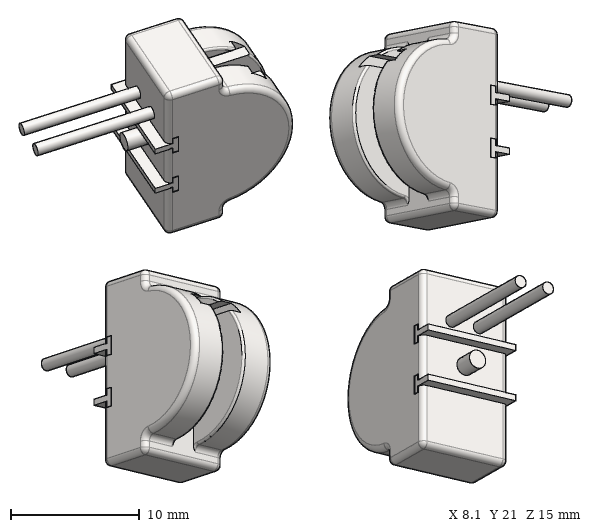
import cadquery as cq
import math


body_width = 8.0
base_height = 15.0
base_depth = 5.0
dome_radius = 6.0
outer_fillet = 0.5
neck_fillet = 0.5

slot_width = 2.0
slot_edge_fillet = 0.19
slot_overcut = 0.5

channel_width = 1.0
channel_height = 1.0
channel_floor = 4.0

pin_diameter = 1.0
pin_length = 10.0
pin_spacing = 2.55
pin_height = 3.5

peg_diameter = 1.5
peg_length = 1.8

rail_length = 8.1
rail_offset = 2.1
rail_thickness = 0.5
flange_height = 1.51
flange_thickness = 0.5
flange_inset = 0.5
rail_projection = 1.0

front_face = -base_depth
tolerance = 0.002


def box(x_size, y_min, y_max, z_size, x_mid=0, z_mid=0):
    """Box centred at x_mid and z_mid that spans y_min to y_max."""
    block = cq.Workplane("XY").box(x_size, y_max - y_min, z_size)
    return block.translate((x_mid, (y_min + y_max) / 2, z_mid))


def front_cylinder(diameter, length, x=0, z=0):
    """Round rod that stands out from the base front face toward -Y."""
    plane = cq.Workplane("XZ", origin=(x, front_face, z))
    return plane.circle(diameter / 2).extrude(length)


def make_housing():
    """Base and dome with a concave neck, all outer edges rounded."""
    centre_distance = dome_radius + neck_fillet
    neck_z = math.sqrt(centre_distance**2 - neck_fillet**2)
    tangent_y = neck_fillet * dome_radius / centre_distance
    tangent_z = neck_z * dome_radius / centre_distance
    half_height = base_height / 2
    profile = (
        cq.Workplane("YZ", origin=(-body_width / 2, 0, 0))
        .moveTo(front_face, -half_height)
        .lineTo(0, -half_height)
        .lineTo(0, -neck_z)
        .radiusArc((tangent_y, -tangent_z), neck_fillet)
        .threePointArc((dome_radius, 0), (tangent_y, tangent_z))
        .radiusArc((0, neck_z), neck_fillet)
        .lineTo(0, half_height)
        .lineTo(front_face, half_height)
        .close()
    )
    housing = profile.extrude(body_width)
    return housing.edges("(not |X) or >Z or <Z").fillet(outer_fillet)


def split_into_arms(housing):
    """Cut the slot through the dome and round the edges on its two sides."""
    slot = box(slot_width, -slot_overcut, dome_radius, base_height)
    slotted = housing.cut(slot)
    edge_reach = slot_width / 2 + tolerance
    slot_edges = cq.selectors.BoxSelector(
        (-edge_reach, tolerance, -base_height),
        (edge_reach, dome_radius + tolerance, base_height),
    )
    rounded = slotted.edges(slot_edges).fillet(slot_edge_fillet)
    rounded_width = slot_width + 2 * slot_edge_fillet
    filling = housing.intersect(box(rounded_width, front_face, 0, base_height))
    return rounded.union(filling)


def make_channels():
    """Cutting boxes for the channel on the slot side of each arm."""
    channel_mid_x = (slot_width + channel_width) / 2
    channel_mid_z = channel_floor + channel_height / 2
    channel = box(channel_width, 0, dome_radius, channel_height, channel_mid_x, channel_mid_z)
    return channel.union(channel.mirror("YZ"))


def make_rail(z):
    """T-section rail: flange set into the base, stem standing out of it."""
    flange_front = front_face + flange_inset
    flange = box(rail_length, flange_front, flange_front + flange_thickness, flange_height, z_mid=z)
    stem = box(rail_length, front_face - rail_projection, flange_front, rail_thickness, z_mid=z)
    return flange.union(stem)


result = split_into_arms(make_housing()).cut(make_channels())
for side in (-1, 1):
    result = result.union(make_rail(side * rail_offset))
    pin_x = side * pin_spacing / 2
    result = result.union(front_cylinder(pin_diameter, pin_length, pin_x, pin_height))
result = result.union(front_cylinder(peg_diameter, peg_length))